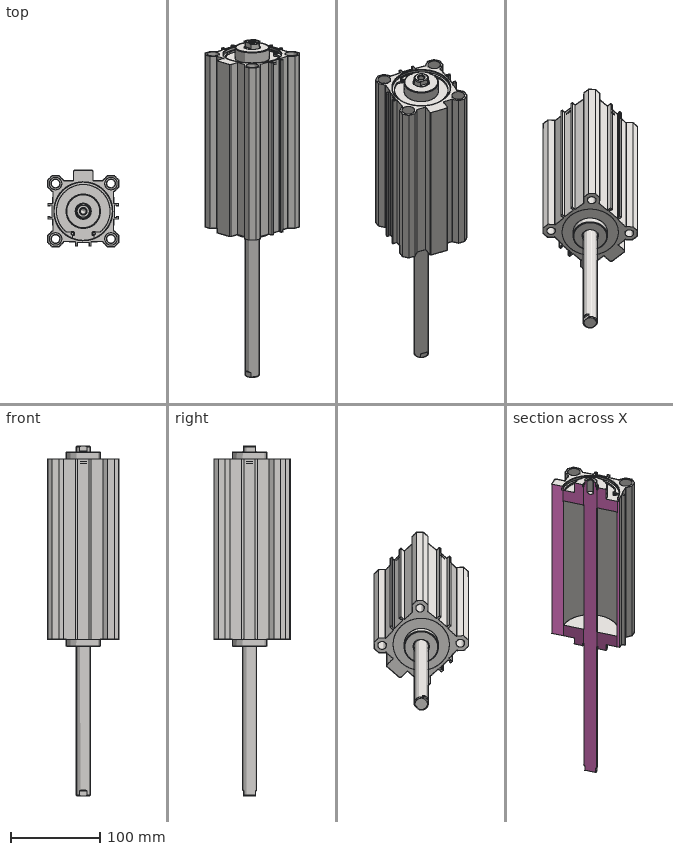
import cadquery as cq
import math

tube_length = 202.0
boss_height = 8.0
rod_top = tube_length + 14.5
rod_bottom = -175.5

corner_offset = 31.0
corner_half_width = 9.0
wall_at_corner = 33.6
wall_at_rib = 34.4
wall_between_ribs = 35.0
back_wall = 34.2
rib_outer = 8.8
side_rib_inner = 6.9
side_lip_inner = 6.0
side_lip_thickness = 2.0
side_rib_tip = 39.5
front_rib_inner = 6.5
front_rib_tip = 39.0

port_block_width = 22.0
port_block_face = 46.0
port_block_chamfer = 1.2

mount_hole_diameter = 9.5
mount_counterbore_diameter = 14.0
mount_counterbore_depth = 10.5

bore_diameter = 63.0
entry_diameter = 65.1
entry_chamfer = 0.5
cover_recess = 5.0
cover_plate_thickness = 15.0
boss_diameter = 38.5
boss_chamfer = 0.8
wiper_diameter = 18.0
wiper_depth = 3.0

ring_outer_diameter = 68.2
ring_inner_diameter = 60.0
ring_thickness = 2.0
ring_lug_x = 12.0
ring_lug_y = -25.0
ring_lug_radius = 2.4
ring_lug_hole_diameter = 3.0
ring_lug_top = -23.5

rod_diameter = 16.0
rod_chamfer = 1.1
rod_flats_width = 13.4
flats_length = 7.0
thread_hole_diameter = 6.65
thread_hole_depth = 16.0
thread_hole_mouth_diameter = 8.25
drill_point_angle = 118.0


def cylinder(diameter, z_low, z_high):
    return cq.Workplane("XY").workplane(offset=z_low).circle(diameter / 2).extrude(z_high - z_low)


def block(x_low, x_high, y_low, y_high, z_low, z_high):
    size = (x_high - x_low, y_high - y_low, z_high - z_low)
    return cq.Workplane("XY").box(*size, centered=False).translate((x_low, y_low, z_low))


def ribbed_wall(rib_inner_side, rib_tip):
    """-Y wall as a slab reaching to the axis, with two ribs whose inner side is given root to tip."""
    half = rib_inner_side + [
        (rib_outer, -rib_tip),
        (rib_outer, -wall_at_rib),
        (corner_offset, -wall_at_corner),
        (corner_offset, 0),
    ]
    mirrored = [(-x, y) for x, y in reversed(half)]
    return cq.Workplane("XY").polyline(half + mirrored).close().extrude(tube_length)


def make_tube():
    corners = [(sx * corner_offset, sy * corner_offset) for sx in (-1, 1) for sy in (-1, 1)]

    body = block(-corner_offset, corner_offset, 0, back_wall, 0, tube_length)
    straight_rib = [(front_rib_inner, -wall_between_ribs), (front_rib_inner, -front_rib_tip)]
    body = body.union(ribbed_wall(straight_rib, front_rib_tip))
    lip_root = side_rib_tip - side_lip_thickness
    lipped_rib = [
        (side_rib_inner, -wall_between_ribs),
        (side_rib_inner, -lip_root),
        (side_lip_inner, -lip_root),
        (side_lip_inner, -side_rib_tip),
    ]
    side_wall = ribbed_wall(lipped_rib, side_rib_tip)
    for angle in (90, -90):
        body = body.union(side_wall.rotate((0, 0, 0), (0, 0, 1), angle))

    port_block = block(-port_block_width / 2, port_block_width / 2, 0, port_block_face, 0, tube_length)
    body = body.union(port_block.edges("|Z and >Y").chamfer(port_block_chamfer))

    half_facet_angle = 180 / 8
    octagon_diameter = 2 * corner_half_width / math.cos(math.radians(half_facet_angle))
    lug = cq.Workplane("XY").polygon(8, octagon_diameter).extrude(tube_length)
    lug = lug.rotate((0, 0, 0), (0, 0, 1), half_facet_angle)
    for x, y in corners:
        body = body.union(lug.translate((x, y, 0)))

    body = (
        body.faces(">Z").workplane(origin=(0, 0, tube_length)).pushPoints(corners)
        .cboreHole(mount_hole_diameter, mount_counterbore_diameter, mount_counterbore_depth)
    )

    body = body.cut(cylinder(bore_diameter, 0, tube_length))
    seat = tube_length - cover_recess - cover_plate_thickness
    entry = cylinder(entry_diameter, seat, tube_length)
    mouth_radius = entry_diameter / 2 + entry_chamfer
    mouth = cq.Workplane("XY").workplane(offset=tube_length).circle(mouth_radius)
    body = body.cut(entry).cut(mouth.extrude(-entry_chamfer, taper=45))
    groove_low = tube_length - cover_recess
    return body.cut(cylinder(ring_outer_diameter, groove_low, groove_low + ring_thickness))


def make_cover(plate_diameter, recess):
    """Cover for the upper end of the tube, its plate lying the given recess below the end face."""
    plate_top = tube_length - recess
    boss_top = tube_length + boss_height
    plate = cylinder(plate_diameter, plate_top - cover_plate_thickness, plate_top)
    boss = cylinder(boss_diameter, plate_top, boss_top).faces(">Z").edges().chamfer(boss_chamfer)
    cover = plate.union(boss)
    cover = cover.cut(cylinder(rod_diameter, 0, boss_top))
    return cover.cut(cylinder(wiper_diameter, boss_top - wiper_depth, boss_top))


def make_retaining_ring():
    z_low = tube_length - cover_recess
    z_high = z_low + ring_thickness
    disc = cylinder(ring_outer_diameter, z_low, z_high)
    ring = disc.cut(cylinder(ring_inner_diameter, z_low, z_high))

    radius = ring_outer_diameter / 2
    ring = ring.cut(block(-ring_lug_x, ring_lug_x, -radius, 0, z_low, z_high))

    for side in (-1, 1):
        x_low, x_high = sorted((side * ring_lug_x, side * radius))
        lug = block(x_low, x_high, -radius, ring_lug_top, z_low, z_high).intersect(disc)
        eye = cylinder(2 * ring_lug_radius, z_low, z_high)
        hole = cylinder(ring_lug_hole_diameter, z_low, z_high)
        eye_place = (side * ring_lug_x, ring_lug_y, 0)
        ring = ring.union(lug).union(eye.translate(eye_place)).cut(hole.translate(eye_place))
    return ring


def make_rod():
    rod = cylinder(rod_diameter, rod_bottom, rod_top).edges().chamfer(rod_chamfer)

    radius = rod_diameter / 2
    flat_y = rod_flats_width / 2
    for end, inward in ((rod_top, -1), (rod_bottom, 1)):
        outer_run_out = end + inward * flats_length
        inner_run_out = outer_run_out - inward * (radius - flat_y)
        side_profile = [(flat_y, end), (radius, end), (radius, outer_run_out), (flat_y, inner_run_out)]
        flat = cq.Workplane("YZ").polyline(side_profile).close().extrude(radius, both=True)
        rod = rod.cut(flat).cut(flat.mirror("XZ"))

    hole_radius = thread_hole_diameter / 2
    point_depth = hole_radius / math.tan(math.radians(drill_point_angle / 2))
    mouth_radius = thread_hole_mouth_diameter / 2
    mouth_bottom = rod_top - (mouth_radius - hole_radius)
    hole_bottom = rod_top - thread_hole_depth
    hole = (
        cq.Workplane("XZ")
        .moveTo(0, hole_bottom - point_depth)
        .lineTo(hole_radius, hole_bottom)
        .lineTo(hole_radius, mouth_bottom)
        .lineTo(mouth_radius, rod_top)
        .lineTo(0, rod_top)
        .close()
        .revolve(360, (0, 0, 0), (0, 1, 0))
    )
    return rod.cut(hole)


tube = make_tube()
top_cover = make_cover(entry_diameter, cover_recess)
bottom_cover = make_cover(bore_diameter, 0).mirror("XY", (0, 0, tube_length / 2))
retaining_ring = make_retaining_ring()
rod = make_rod()

bodies = [tube, top_cover, bottom_cover, retaining_ring, rod]
result = cq.Compound.makeCompound([body.solids().val() for body in bodies])